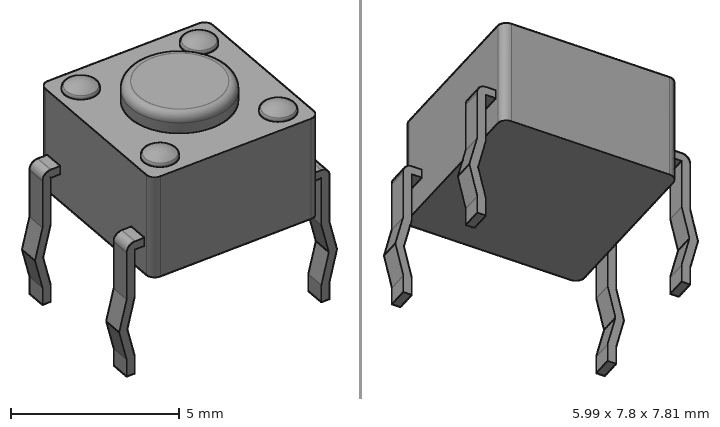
import cadquery as cq

body_side = 5.99
body_bottom = 3.49
body_top = 7.12
corner_radius = 0.3

total_height = 7.81
button_radius = 1.76
button_fillet = 0.3

rivet_offset = 2.12
rivet_radius = 0.58
rivet_height = 0.28
rivet_wall = 0.02
dome_radius = 0.53
dome_base = 0.125

leg_offset = 2.25
leg_width = 0.7
leg_thickness = 0.3
leg_reach = 3.63
leg_top = 4.79
leg_bend_radius = 0.3
kink_reach = 3.901
kink_upper = 2.795
kink_middle = 1.71
kink_lower = 0.625


def make_body():
    height = body_top - body_bottom
    block = cq.Workplane("XY").workplane(offset=body_bottom).rect(body_side, body_side).extrude(height)
    return block.edges("|Z").fillet(corner_radius)


def make_button():
    height = total_height - body_top
    button = cq.Workplane("XY").workplane(offset=body_top).circle(button_radius).extrude(height)
    return button.faces(">Z").edges().fillet(button_fillet)


def make_rivet():
    """Shallow dome with a rounded rim, standing on Z = 0."""
    cap_height = rivet_height - dome_base
    sphere_radius = (dome_radius**2 + cap_height**2) / (2 * cap_height)
    mid_radius = dome_radius / 2
    mid_height = rivet_height - sphere_radius + (sphere_radius**2 - mid_radius**2) ** 0.5
    return (
        cq.Workplane("XZ")
        .lineTo(rivet_radius, 0)
        .lineTo(rivet_radius, rivet_wall)
        .tangentArcPoint((dome_radius, dome_base), relative=False)
        .threePointArc((mid_radius, mid_height), (0, rivet_height))
        .close()
        .revolve(360, (0, 0), (0, 1))
    )


def make_leg():
    """Leg on the +Y side, centred on X = 0, starting at the housing wall."""
    wall = body_side / 2
    inner_reach = leg_reach - leg_thickness
    inner_kink = kink_reach - leg_thickness
    profile = (
        cq.Workplane("YZ")
        .moveTo(wall, leg_top)
        .lineTo(leg_reach - leg_bend_radius, leg_top)
        .radiusArc((leg_reach, leg_top - leg_bend_radius), leg_bend_radius)
        .lineTo(leg_reach, kink_upper)
        .lineTo(kink_reach, kink_middle)
        .lineTo(leg_reach, kink_lower)
        .lineTo(leg_reach, 0)
        .lineTo(inner_reach, 0)
        .lineTo(inner_reach, kink_lower)
        .lineTo(inner_kink, kink_middle)
        .lineTo(inner_reach, kink_upper)
        .lineTo(inner_reach, leg_top - leg_thickness)
        .lineTo(wall, leg_top - leg_thickness)
        .close()
    )
    return profile.extrude(leg_width / 2, both=True)


result = make_body().union(make_button())

rivet = make_rivet()
back_leg = make_leg()
front_leg = back_leg.mirror("XZ")

for x_side in (-1, 1):
    for y_side, leg in ((-1, front_leg), (1, back_leg)):
        result = result.union(rivet.translate((x_side * rivet_offset, y_side * rivet_offset, body_top)))
        result = result.union(leg.translate((x_side * leg_offset, 0, 0)))